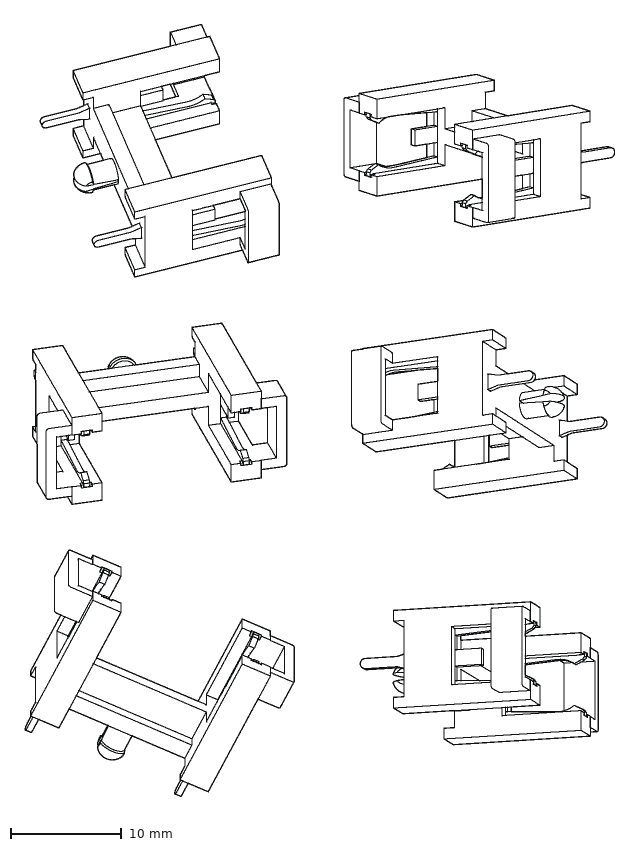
import cadquery as cq


overall_width = 22.6
arm_outer_x = 8.88
arm_thickness = 2.82
arm_height = 9.0
arm_back_y = 12.0
foot_length = 1.0
foot_thickness = 1.0
arm_inner_x = arm_outer_x - arm_thickness

window_height = 5.35
window_front_y = 4.5
window_half = window_height / 2

loop_height = 7.35
loop_back_y = 11.95
loop_width_y = 2.94
loop_wall = 1.0
loop_corner_radius = 0.3

wall_height = 4.0
wall_depth = 1.5
shelf_height = 1.47

peg_radius = 1.2
head_radius = 1.4
head_start = 2.35
head_centre = 2.46
peg_slot_base_width = 0.25
peg_slot_tip_width = 0.84

contact_x = 7.48
contact_thickness = 0.56
stem_half = 0.75
stem_back_y = 7.0
web_depth = 2.0
pin_half = 0.47
pin_neck_length = 1.0
pin_length = 4.5

tine_root_height = 0.59
tine_tip_gap = 0.02
tine_bend = 2.58
tine_bend_height = 0.27
tine_curve_mid = 1.75
tine_curve_mid_height = 0.38
tine_peak = 1.02
tine_peak_height = 0.77
tine_lead = 0.2
tine_lead_height = 0.36
tine_tip_height = 0.14
tip_drop = 0.25
tip_drop_length = 0.43
tip_side_clearance = 0.23


def block(x_limits, y_limits, height):
    """Box between two X and two Y limits, centred on Z = 0."""
    width = x_limits[1] - x_limits[0]
    depth = y_limits[1] - y_limits[0]
    centre = (sum(x_limits) / 2, sum(y_limits) / 2, 0)
    return cq.Workplane("XY").box(width, depth, height).translate(centre)


def plate(outline, x_centre, thickness):
    """Extrude a closed YZ outline symmetrically about X = x_centre."""
    return outline.extrude(thickness / 2, both=True).translate((x_centre, 0, 0))


def mirror_z(shape):
    return shape.mirror("XY")


def make_arm():
    """Right-hand arm with its feet, window and outer loop."""
    arm = block((arm_inner_x, arm_outer_x), (-foot_length, arm_back_y), arm_height)
    foot_gap = block((arm_inner_x, arm_outer_x), (-foot_length, 0), arm_height - 2 * foot_thickness)
    window = block((arm_inner_x, arm_outer_x), (window_front_y, arm_back_y), window_height)

    loop_y = (loop_back_y - loop_width_y, loop_back_y)
    loop_outer_x = overall_width / 2
    loop = block((arm_outer_x, loop_outer_x), loop_y, loop_height)
    loop = loop.edges(">X and |Y").fillet(loop_corner_radius)
    loop = loop.cut(block((arm_outer_x, loop_outer_x - loop_wall), loop_y, window_height))
    return arm.cut(foot_gap).cut(window).union(loop)


def make_crossbar():
    span = (-arm_inner_x, arm_inner_x)
    wall = block(span, (0, wall_depth), wall_height)
    shelf = block(span, (wall_depth, window_front_y), shelf_height)
    return wall.union(shelf)


def make_peg():
    """Round shaft and domed head, flat at the sides and split by a tapered slot."""
    peg = (
        cq.Workplane("XY")
        .lineTo(peg_radius, 0)
        .lineTo(peg_radius, -head_start)
        .lineTo(head_radius, -head_centre)
        .radiusArc((0, -head_centre - head_radius), head_radius)
        .close()
        .revolve(360, (0, 0, 0), (0, 1, 0))
    )
    peg_length = head_centre + head_radius
    peg = peg.intersect(block((-peg_radius, peg_radius), (-peg_length, 0), 2 * head_radius))
    slot = cq.Workplane("YZ").polyline([
        (0, peg_slot_base_width / 2),
        (-peg_length, peg_slot_tip_width / 2),
        (-peg_length, -peg_slot_tip_width / 2),
        (0, -peg_slot_base_width / 2),
    ]).close()
    return peg.cut(plate(slot, 0, 2 * head_radius))


def make_tine(x_centre):
    """Lower spring tine, lying on the bottom edge of the window."""
    def point(from_back, height):
        return (arm_back_y - from_back, height - window_half)

    outline = (
        cq.Workplane("YZ")
        .moveTo(window_front_y, -window_half)
        .lineTo(window_front_y, tine_root_height - window_half)
        .lineTo(*point(tine_bend, tine_bend_height))
        .threePointArc(point(tine_curve_mid, tine_curve_mid_height), point(tine_peak, tine_peak_height))
        .lineTo(*point(tine_lead, tine_lead_height))
        .lineTo(*point(tine_tip_gap, tine_tip_height))
        .lineTo(*point(tine_tip_gap, -tip_drop))
        .lineTo(*point(tip_drop_length, 0))
        .close()
    )
    return plate(outline, x_centre, contact_thickness)


def make_contact(x_centre):
    """Flat contact: a stem ending in a pin, a web, and a tine above and below."""
    stem_outline = (
        cq.Workplane("YZ")
        .moveTo(stem_back_y, stem_half)
        .lineTo(0, stem_half)
        .lineTo(-pin_neck_length, pin_half)
        .lineTo(-pin_length + pin_half, pin_half)
        .threePointArc((-pin_length, 0), (-pin_length + pin_half, -pin_half))
        .lineTo(-pin_neck_length, -pin_half)
        .lineTo(0, -stem_half)
        .lineTo(stem_back_y, -stem_half)
        .close()
    )
    x_limits = (x_centre - contact_thickness / 2, x_centre + contact_thickness / 2)
    web = block(x_limits, (window_front_y - web_depth, window_front_y), window_height)
    tine = make_tine(x_centre)
    stem = plate(stem_outline, x_centre, contact_thickness)
    return stem.union(web).union(tine).union(mirror_z(tine))


def make_tip_relief(x_centre):
    """Sloped notch in the lower window edge that clears a tine tip."""
    outline = cq.Workplane("YZ").polyline([
        (arm_back_y, -window_half),
        (arm_back_y - tip_drop_length, -window_half),
        (arm_back_y, -window_half - tip_drop),
    ]).close()
    return plate(outline, x_centre, contact_thickness + 2 * tip_side_clearance)


def make_housing(contacts):
    arm = make_arm()
    housing = make_crossbar().union(arm).union(arm.mirror("YZ")).union(make_peg())
    for x_centre in (-contact_x, contact_x):
        relief = make_tip_relief(x_centre)
        housing = housing.cut(relief).cut(mirror_z(relief))
    for contact in contacts:
        housing = housing.cut(contact)
    return housing


contacts = [make_contact(x_centre) for x_centre in (-contact_x, contact_x)]
housing = make_housing(contacts)

result = cq.Compound.makeCompound([housing.val(), *[contact.val() for contact in contacts]])